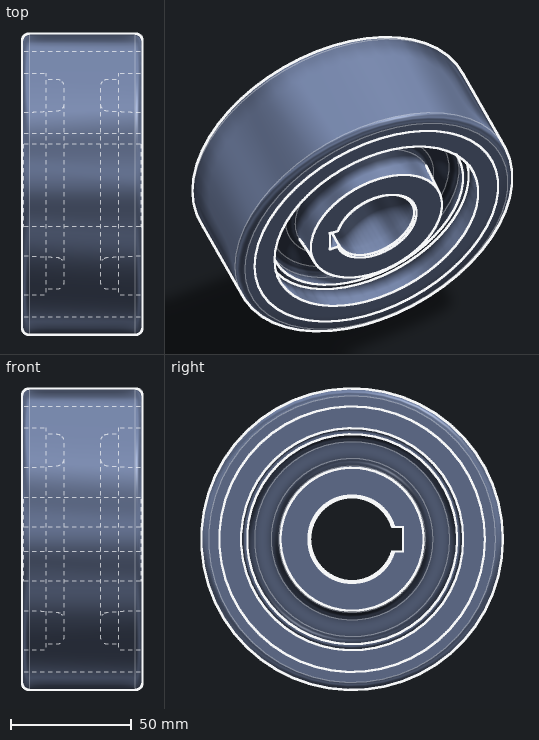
import cadquery as cq

width = 50.0
half_width = width / 2

outer_radius = 62.5
tread_inner_radius = 55.0
tread_edge_fillet = 3.1

recess_radius = 46.0
recess_depth = 10.0
web_pocket_radius = 43.5
web_pocket_depth = 17.5
web_fillet = 3.1

hub_end_radius = 29.6
hub_root_radius = 30.5

bore_radius = 17.4
bore_chamfer = 0.8
keyway_width = 10.0
keyway_reach = 21.0

half_web = half_width - web_pocket_depth


def disc(radius, start_x, length):
    """Solid cylinder along X, starting at start_x."""
    return cq.Workplane("YZ", origin=(start_x, 0, 0)).circle(radius).extrude(length)


def make_tread():
    """Ring with rounded outer corners."""
    blank = disc(outer_radius, -half_width, width).edges().fillet(tread_edge_fillet)
    return blank.cut(disc(tread_inner_radius, -half_width, width))


def make_side_pocket():
    """Annular pocket on the +X side, between hub and rim, with a rounded floor."""
    pocket = (
        cq.Workplane("XY")
        .moveTo(half_web, hub_root_radius)
        .lineTo(half_width, hub_end_radius)
        .lineTo(half_width, web_pocket_radius)
        .lineTo(half_web, web_pocket_radius)
        .close()
        .revolve(360, (0, 0, 0), (1, 0, 0))
        .faces("<X")
        .edges()
        .fillet(web_fillet)
    )
    recess_floor = half_width - recess_depth
    recess = disc(recess_radius, recess_floor, recess_depth).cut(
        disc(web_pocket_radius, recess_floor, recess_depth)
    )
    return pocket.union(recess)


def make_keyway():
    """Rectangular slot through the hub, on the +Y side of the bore."""
    return cq.Workplane("XY").box(width, keyway_reach, keyway_width, centered=(True, False, True))


def make_wheel_body():
    """Hub, web and rim in one piece."""
    bore = disc(bore_radius, -half_width, width)
    body = disc(tread_inner_radius, -half_width, width).cut(bore)
    body = body.edges(cq.selectors.RadiusNthSelector(0)).chamfer(bore_chamfer)
    pocket = make_side_pocket()
    body = body.cut(pocket).cut(pocket.mirror("YZ"))
    return body.cut(make_keyway())


tread = make_tread()
wheel_body = make_wheel_body()

result = cq.Compound.makeCompound([tread.val(), wheel_body.val()])